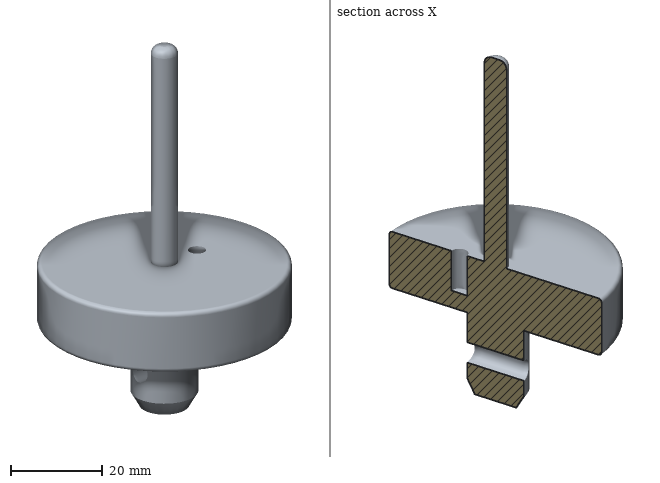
import cadquery as cq

disc_diameter = 56.0
disc_height = 14.35
disc_edge_radius = 1.0

rod_diameter = 6.0
rod_length = 52.0
rod_tip_radius = 2.0

spigot_diameter = 15.0
spigot_length = 20.0
spigot_taper_height = 3.5
spigot_tip_diameter = 11.0

cross_hole_diameter = 5.0
cross_hole_depth_below_disc = 10.0

disc_hole_diameter = 4.0
disc_hole_offset = 9.5
disc_hole_depth = 10.0


def make_disc():
    """Round disc with both rims rounded over."""
    disc = cq.Workplane("XY").circle(disc_diameter / 2).extrude(disc_height)
    return disc.edges("%CIRCLE").fillet(disc_edge_radius)


def make_rod():
    """Slender upright rod with a rounded tip, standing on the disc."""
    rod = cq.Workplane("XY").workplane(offset=disc_height).circle(rod_diameter / 2).extrude(rod_length)
    return rod.faces(">Z").edges().fillet(rod_tip_radius)


def make_spigot():
    """Spigot below the disc, tapered at its free end."""
    taper_inset = (spigot_diameter - spigot_tip_diameter) / 2
    spigot = cq.Workplane("XY").circle(spigot_diameter / 2).extrude(-spigot_length)
    return spigot.faces("<Z").chamfer(spigot_taper_height, taper_inset)


def make_cross_hole():
    """Cutter for the hole running along Y through the spigot."""
    return (
        cq.Workplane("XZ")
        .center(0, -cross_hole_depth_below_disc)
        .circle(cross_hole_diameter / 2)
        .extrude(spigot_diameter, both=True)
    )


def make_disc_hole():
    """Cutter for the blind hole in the disc's upper face."""
    return (
        cq.Workplane("XY")
        .workplane(offset=disc_height)
        .center(0, disc_hole_offset)
        .circle(disc_hole_diameter / 2)
        .extrude(-disc_hole_depth)
    )


result = make_disc().union(make_rod()).union(make_spigot())
result = result.cut(make_cross_hole()).cut(make_disc_hole())